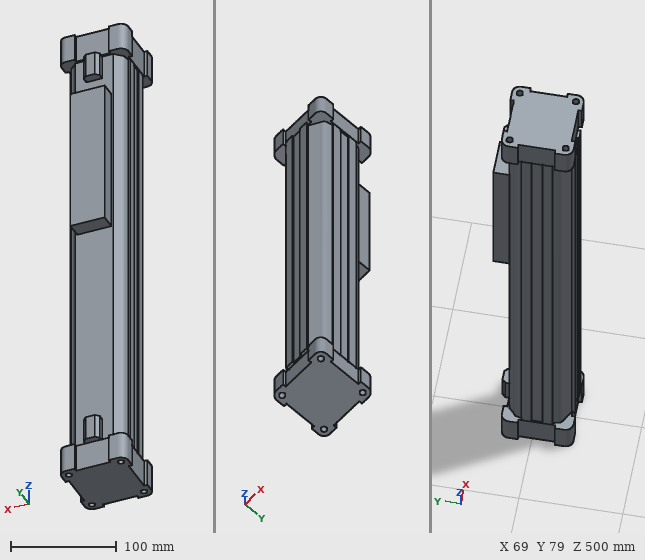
import cadquery as cq

total_length = 500.0
cap_height = 28.5
tube_end = total_length / 2 - cap_height

cap_size = 69.0
cap_corner_radius = 7.5
recess_width = 35.5
recess_depth = 3.5

hole_offset = 27.0
hole_diameter = 6.0
hole_depth = 12.0
hole_tip_height = 2.0

rib_side = cap_size / 2 - recess_depth
rib_front = 34.0
tube_back = 28.5
slot_width = 10.5
slot_half_width = slot_width / 2
slot_depth = 1.5
front_rib_half_width = 14.5
side_rib_half_width = 15.0
front_rib_root = (13.0, -30.5)
side_rib_lower_root = (29.0, -14.5)
side_rib_upper_root = (29.0, 14.5)
front_corner_start = (23.5, -24.5)
front_corner_middle = (26.5, -22.5)
front_corner_end = (28.0, -19.5)
back_corner_start = (27.5, 20.5)
back_corner_middle = (26.5, 22.0)
back_corner_end = (24.5, 23.5)
back_chamfer_end = (back_corner_end[0] - (tube_back - back_corner_end[1]), tube_back)

stop_length = 25.0
stop_width = 16.5
stop_half_width = stop_width / 2
stop_back = 38.0
stop_chamfer = 3.5

carriage_width = recess_width
carriage_back = 44.5
carriage_length = 152.0
carriage_bottom = 23.5


def make_tube_profile():
    """Solid extrusion of the tube, made from its +X half and the mirror image of that half."""
    slot_front = rib_front - slot_depth
    slot_side = rib_side - slot_depth
    half = (
        cq.Workplane("XY", origin=(0, 0, -tube_end))
        .moveTo(0, tube_back)
        .lineTo(0, -slot_front)
        .lineTo(slot_half_width, -slot_front)
        .lineTo(slot_half_width, -rib_front)
        .lineTo(front_rib_half_width, -rib_front)
        .lineTo(*front_rib_root)
        .lineTo(*front_corner_start)
        .threePointArc(front_corner_middle, front_corner_end)
        .lineTo(*side_rib_lower_root)
        .lineTo(rib_side, -side_rib_half_width)
        .lineTo(rib_side, -slot_half_width)
        .lineTo(slot_side, -slot_half_width)
        .lineTo(slot_side, slot_half_width)
        .lineTo(rib_side, slot_half_width)
        .lineTo(rib_side, side_rib_half_width)
        .lineTo(*side_rib_upper_root)
        .lineTo(*back_corner_start)
        .threePointArc(back_corner_middle, back_corner_end)
        .lineTo(*back_chamfer_end)
        .close()
        .extrude(2 * tube_end)
    )
    return half.union(half.mirror("YZ"))


def make_carriage_block():
    """Rectangular block that stands on the back of the tube."""
    depth = carriage_back - tube_back
    return cq.Workplane("XY", origin=(0, tube_back + depth / 2, carriage_bottom)).box(
        carriage_width, depth, carriage_length, centered=(True, True, False)
    )


def make_tube():
    """Tube and carriage block as one solid."""
    return make_tube_profile().union(make_carriage_block())


def make_screw_hole():
    """Cutter for one blind hole with a conical bottom, opening at Z = 0."""
    radius = hole_diameter / 2
    return (
        cq.Workplane("XZ")
        .polyline([(0, 0), (radius, 0), (radius, -hole_depth), (0, -hole_depth - hole_tip_height)])
        .close()
        .revolve(360, (0, 0, 0), (0, 1, 0))
    )


def make_stop():
    """Stop block that hangs below the inner face of the top cap."""
    shoulder = stop_back - stop_chamfer
    crest_half_width = stop_half_width - stop_chamfer
    return (
        cq.Workplane("XY", origin=(0, 0, tube_end - stop_length))
        .polyline(
            [
                (-stop_half_width, tube_back),
                (stop_half_width, tube_back),
                (stop_half_width, shoulder),
                (crest_half_width, stop_back),
                (-crest_half_width, stop_back),
                (-stop_half_width, shoulder),
            ]
        )
        .close()
        .extrude(stop_length)
    )


def make_top_cap():
    """Square cap with a recess in each side, four screw holes and its stop, as one solid."""
    cap = (
        cq.Workplane("XY", origin=(0, 0, tube_end))
        .rect(cap_size, cap_size)
        .extrude(cap_height)
        .edges("|Z")
        .fillet(cap_corner_radius)
    )
    recess = cq.Workplane("XY", origin=(0, cap_size / 2 - recess_depth / 2, tube_end)).box(
        recess_width, recess_depth, cap_height, centered=(True, True, False)
    )
    for quarter_turn in range(4):
        cap = cap.cut(recess.rotate((0, 0, 0), (0, 0, 1), 90 * quarter_turn))
    for x in (-hole_offset, hole_offset):
        for y in (-hole_offset, hole_offset):
            cap = cap.cut(make_screw_hole().translate((x, y, total_length / 2)))
    return cap.union(make_stop())


def make_end_caps():
    """The top cap and its mirror image at the bottom."""
    top_cap = make_top_cap()
    return [top_cap.val(), top_cap.mirror("XY").val()]


tube = make_tube()
end_caps = make_end_caps()
result = cq.Compound.makeCompound([tube.val(), *end_caps])